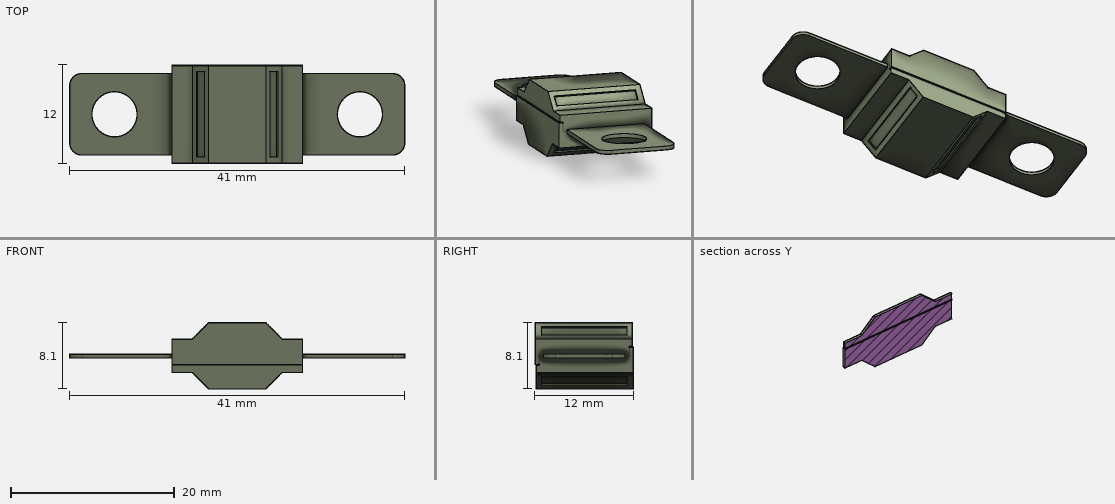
import cadquery as cq

strip_length = 41.0
strip_width = 10.0
strip_thickness = 0.5
strip_top_z = 0.2
strip_corner_radius = 1.5
hole_diameter = 5.5
hole_spacing = 30.0

housing_length = 16.0
housing_width = 12.0
housing_height = 8.1
shoulder_height = 4.1
crown_length = 7.0
crown_foot_length = 11.0
side_setback = 0.12

lip_thickness = 0.5
lip_height = 1.05
lip_chamfer = 0.1
lip_clearance = 0.1

pocket_length = 10.5
pocket_width = 1.45
pocket_depth = 0.25

half_width = housing_width / 2
lip_inner_y = half_width - lip_thickness
slope_run = (crown_foot_length - crown_length) / 2
slope_rise = (housing_height - shoulder_height) / 2


def x_bar(y_from, y_to, z_from, z_to):
    """Box over the full housing length, given its extents in Y and Z."""
    return cq.Workplane("XY").box(
        housing_length, y_to - y_from, z_to - z_from, centered=(True, False, False)
    ).translate((0, y_from, z_from))


def slope_pocket(side):
    """Cutter for the pocket centred on the sloped face at the +X or -X side."""
    slope_centre = cq.Plane(
        origin=(side * (crown_length + slope_run) / 2, 0, shoulder_height / 2 + slope_rise / 2),
        xDir=(0, 1, 0),
        normal=(side * slope_rise, 0, slope_run),
    )
    return cq.Workplane(slope_centre).rect(pocket_length, pocket_width).extrude(-pocket_depth)


def lip():
    """Strip that reaches below the seam on the -Y side, chamfered inside its tip."""
    bar = x_bar(-half_width, -lip_inner_y, -lip_height, 0)
    return bar.edges("|X and >Y and <Z").chamfer(lip_chamfer)


def upper_half():
    """Stepped housing half with a lip on the -Y side and a rebate on the +Y side."""
    half = (
        cq.Workplane("XZ", origin=(0, half_width - side_setback, 0))
        .moveTo(-housing_length / 2, 0)
        .lineTo(-housing_length / 2, shoulder_height / 2)
        .lineTo(-crown_foot_length / 2, shoulder_height / 2)
        .lineTo(-crown_length / 2, housing_height / 2)
        .lineTo(crown_length / 2, housing_height / 2)
        .lineTo(crown_foot_length / 2, shoulder_height / 2)
        .lineTo(housing_length / 2, shoulder_height / 2)
        .lineTo(housing_length / 2, 0)
        .close()
        .extrude(housing_width - side_setback)
    )
    half = half.cut(x_bar(lip_inner_y, half_width, 0, lip_height + lip_clearance))
    for side in (-1, 1):
        half = half.cut(slope_pocket(side))
    return half.union(lip())


def terminal_strip():
    """Flat strip through the housing with a bolt hole near each end."""
    return (
        cq.Workplane("XY", origin=(0, 0, strip_top_z))
        .rect(strip_length, strip_width)
        .extrude(-strip_thickness)
        .edges("|Z")
        .fillet(strip_corner_radius)
        .faces(">Z")
        .workplane()
        .pushPoints([(-hole_spacing / 2, 0), (hole_spacing / 2, 0)])
        .hole(hole_diameter)
    )


upper = upper_half()
lower = upper.rotate((0, 0, 0), (1, 0, 0), 180)
result = upper.union(lower, clean=False).union(terminal_strip(), clean=False)